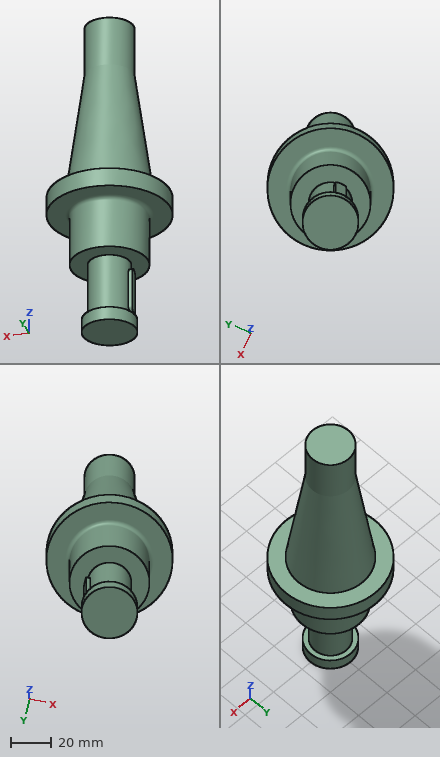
import cadquery as cq

total_height = 171.4
collar_height = 7.0
pilot_top = 38.0
hub_top = 66.3
flange_top = 76.1
taper_top = 144.8

collar_diameter = 28.0
pilot_diameter = 22.0
hub_diameter = 40.0
flange_diameter = 63.0
taper_base_diameter = 44.9
shank_diameter = 25.2

flare_radius = 2.0

key_width = 6.0
key_length = 24.9
key_center_height = 21.5
key_reach = 12.5


def turned_body():
    """Revolve the stepped, tapered profile about the Z axis."""
    hub_radius = hub_diameter / 2
    return (
        cq.Workplane("XZ")
        .moveTo(0, 0)
        .lineTo(collar_diameter / 2, 0)
        .lineTo(collar_diameter / 2, collar_height)
        .lineTo(pilot_diameter / 2, collar_height)
        .lineTo(pilot_diameter / 2, pilot_top)
        .lineTo(hub_radius, pilot_top)
        .lineTo(hub_radius, hub_top - flare_radius)
        .radiusArc((hub_radius + flare_radius, hub_top), flare_radius)
        .lineTo(flange_diameter / 2, hub_top)
        .lineTo(flange_diameter / 2, flange_top)
        .lineTo(taper_base_diameter / 2, flange_top)
        .lineTo(shank_diameter / 2, taper_top)
        .lineTo(shank_diameter / 2, total_height)
        .lineTo(0, total_height)
        .close()
        .revolve(360, (0, 0, 0), (0, 1, 0))
    )


def drive_key():
    """Extrude the key outward from the pilot axis toward -X."""
    return (
        cq.Workplane("YZ")
        .center(0, key_center_height)
        .slot2D(key_length, key_width, 90)
        .extrude(-key_reach)
    )


result = turned_body().union(drive_key())